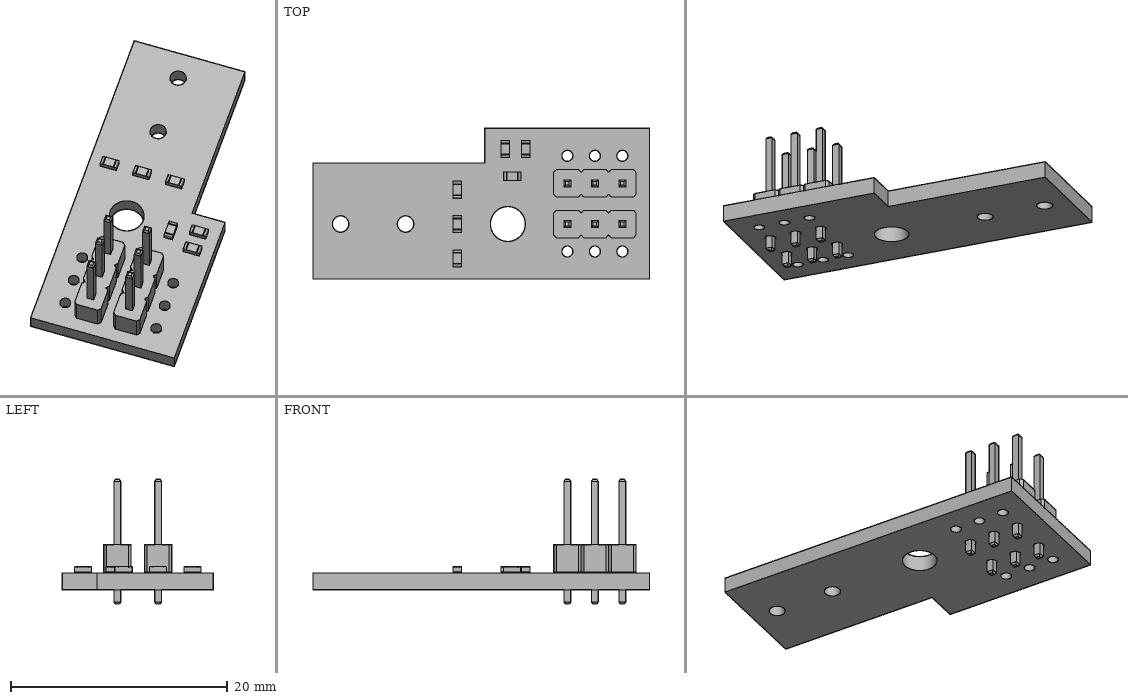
import cadquery as cq

board_length = 31.1
board_width = 13.97
board_thickness = 1.6
seat_gap = 0.05
seat_height = board_thickness + seat_gap
neck_length = 15.87
neck_width = 10.75

pins_per_header = 3
housing_length = 7.62
pin_pitch = housing_length / pins_per_header
first_pin_x = 23.52
lower_row_y = 5.1
upper_row_y = board_width - lower_row_y
header_row_ys = [lower_row_y, upper_row_y]
pin_xs = [first_pin_x + i * pin_pitch for i in range(pins_per_header)]

housing_height = 2.55
housing_corner_chamfer = 0.25

pin_side = 0.65
pin_length = 11.55
pin_tail = 1.3
pin_tip_inset = 0.15
pin_tip_height = 0.2

pin_hole_diameter = 1.0
pin_hole_ys = [lower_row_y - pin_pitch, lower_row_y, upper_row_y, upper_row_y + pin_pitch]
cable_hole_diameter = 1.5
cable_hole_xs = [2.55, 8.55]
mount_hole_diameter = 3.2
mount_hole_x = 18.0

chip_length = 1.6
chip_width = 0.8
chip_height = 0.5
terminal_length = 0.28
terminal_edge_radius = 0.05
groove_width = 0.05
groove_depth = 0.03

chip_column_x = 13.35
chip_column_pitch = 3.17
chip_pair_xs = [17.75, 19.65]
chip_pair_y = 12.05
cross_chip_x = 18.42
cross_chip_y = 9.52

chip_places = [(chip_column_x, lower_row_y + i * chip_column_pitch, 90) for i in (-1, 0, 1)]
chip_places += [(x, chip_pair_y, 90) for x in chip_pair_xs]
chip_places += [(cross_chip_x, cross_chip_y, 0)]


def make_board():
    """The L-shaped plate with all its through holes."""
    plate = (
        cq.Workplane("XY")
        .moveTo(0, 0)
        .lineTo(board_length, 0)
        .lineTo(board_length, board_width)
        .lineTo(neck_length, board_width)
        .lineTo(neck_length, neck_width)
        .lineTo(0, neck_width)
        .close()
        .extrude(board_thickness)
    )
    pin_holes = [(x, y) for x in pin_xs for y in pin_hole_ys]
    cable_holes = [(x, lower_row_y) for x in cable_hole_xs]
    mount_hole = [(mount_hole_x, lower_row_y)]
    for places, diameter in (
        (pin_holes, pin_hole_diameter),
        (cable_holes, cable_hole_diameter),
        (mount_hole, mount_hole_diameter),
    ):
        cutter = cq.Workplane("XY").pushPoints(places).circle(diameter / 2).extrude(board_thickness)
        plate = plate.cut(cutter)
    return plate


def make_pin(x, y):
    """One square pin with a tapered tip at both ends."""
    pin = cq.Workplane("XY").box(pin_side, pin_side, pin_length, centered=(True, True, False))
    pin = pin.faces("<Z or >Z").chamfer(pin_tip_height, pin_tip_inset)
    return pin.translate((x, y, -pin_tail))


def make_header(row_y):
    """A housing of chamfered square cells side by side, one body with its pins."""
    header = cq.Workplane("XY")
    for x in pin_xs:
        cell = (
            cq.Workplane("XY")
            .box(pin_pitch, pin_pitch, housing_height, centered=(True, True, False))
            .edges("|Z")
            .chamfer(housing_corner_chamfer)
            .translate((x, row_y, seat_height))
        )
        header = header.union(cell).union(make_pin(x, row_y))
    return header


def make_chip(x, y, turn):
    """One chip with rounded end edges and two grooves across its top."""
    chip = cq.Workplane("XY").box(chip_length, chip_width, chip_height, centered=(True, True, False))
    chip = chip.edges("|Y").fillet(terminal_edge_radius)
    groove_x = chip_length / 2 - terminal_length
    grooves = (
        cq.Workplane("XY", origin=(0, 0, chip_height - groove_depth))
        .pushPoints([(-groove_x, 0), (groove_x, 0)])
        .rect(groove_width, chip_width)
        .extrude(groove_depth)
    )
    chip = chip.cut(grooves)
    return chip.rotate((0, 0, 0), (0, 0, 1), turn).translate((x, y, seat_height))


board = make_board()
headers = [make_header(row_y) for row_y in header_row_ys]
chips = [make_chip(*place) for place in chip_places]

result = cq.Compound.makeCompound([part.val() for part in [board, *headers, *chips]])